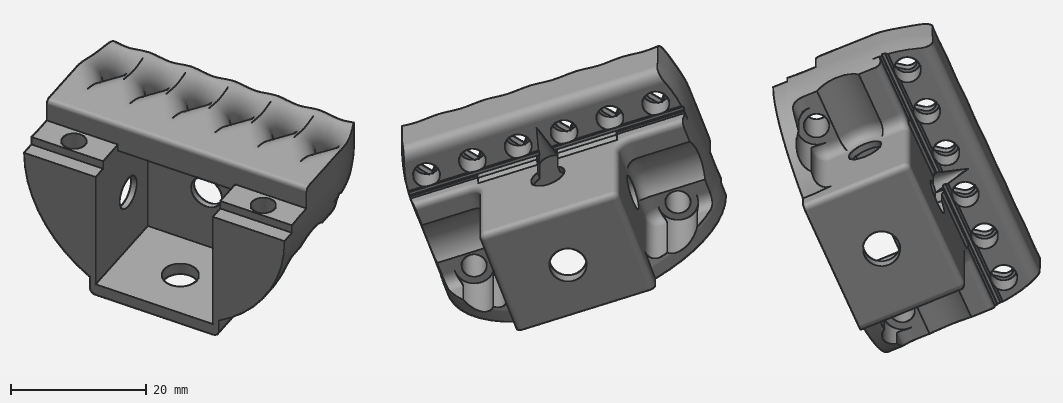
import cadquery as cq
import math

DEPTH = 24.88
HEIGHT = 27.37
PLATE_RADIUS = 22.025

BODY_RADIUS = 21.95
AXIS_Z = 22.42
TRANSITION_START = 2.0
TRANSITION_END = 4.0
CAP_START = 16.0

BOX_WIDTH = 21.8
WALL = 1.0
BOX_DEPTH = CAP_START + WALL
FLOOR = 2.0
BOX_EDGE_RADIUS = 1.0

BAR_FRONT = 6.85
BAR_BOTTOM = 18.4
BAR_FRONT_RADIUS = 0.75
BAR_BACK_TOP_RADIUS = 1.0
BAR_BACK_BOTTOM_RADIUS = 2.0

LEDGE_TOP = 23.57
LEDGE_FRONT = 2.28
LIP_TOP = 22.16

POCKET_TOP = 16.1
PLATE_THICKNESS = 2.55
POCKET_RADIUS = 2.0

SIDE_HOLE_DIAMETER = 5.2
SIDE_HOLE_Y = 10.03
SIDE_HOLE_Z = 12.4
SIDE_CLEARANCE_RADIUS = 5.0
FLOOR_HOLE_DIAMETER = 5.5
FLOOR_HOLE_Y = 8.0
SCREW_HOLE_DIAMETER = 3.75
SCREW_X = 16.0
SCREW_Y = 4.42
SCREW_HEAD_DIAMETER = 6.0
KEYHOLE_DIAMETER = 5.2
KEYHOLE_Z = 12.0
KEYHOLE_SLOT_RADIUS = 1.6
KEYHOLE_TIP_LENGTH = 6.0

RIDGE_THICKNESS = 0.35
RIDGE_BOTTOM = 16.6
RIDGE_SHOULDER = 17.6
GROOVE_WIDTH = 0.95
GROOVE_DEPTH = 0.45

GUIDE_COUNT = 6
GUIDE_PITCH = 7.2
GUIDE_Y = 19.93
GUIDE_RADIUS = 1.5
FLARE_RADIUS = 4.0
GUIDE_BORE_DIAMETER = 4.0
TEARDROP_HALF_ANGLE = 37.0

CLEAR = 5.0


def block(x0, x1, y0, y1, z0, z1):
    return cq.Workplane("XY").box(x1 - x0, y1 - y0, z1 - z0, centered=False).translate((x0, y0, z0))


def shield(y, radius, axis_z):
    """Outline in the XZ plane at depth y: half round below axis_z, straight sides up to the ledges."""
    return (
        cq.Workplane("XZ", origin=(0, y, 0))
        .moveTo(radius, LEDGE_TOP)
        .lineTo(radius, axis_z)
        .threePointArc((0, axis_z - radius), (-radius, axis_z))
        .lineTo(-radius, LEDGE_TOP)
        .close()
    )


def half_round_body():
    """Front plate, short transition and rear block, stepped down in front of the ledges."""
    plate = shield(0, PLATE_RADIUS, LIP_TOP).extrude(-TRANSITION_START)
    front_wire = shield(TRANSITION_START, PLATE_RADIUS, LIP_TOP).wires().val()
    back_wire = shield(TRANSITION_END, BODY_RADIUS, AXIS_Z).wires().val()
    transition = cq.Workplane(cq.Solid.makeLoft([front_wire, back_wire], True))
    rear = shield(TRANSITION_END, BODY_RADIUS, AXIS_Z).extrude(TRANSITION_END - BOX_DEPTH)
    above_lip = block(-PLATE_RADIUS, PLATE_RADIUS, 0, LEDGE_FRONT, LIP_TOP, HEIGHT)
    above_wall = block(-PLATE_RADIUS, PLATE_RADIUS, CAP_START, BOX_DEPTH, BAR_BOTTOM, HEIGHT)
    return plate.union(transition).union(rear).cut(above_lip).cut(above_wall)


def side_pocket():
    """Pocket on the +X side, with rounded inner edges and clearance around the holes."""
    wall_x = BOX_WIDTH / 2
    outer_x = PLATE_RADIUS + CLEAR
    pocket = block(wall_x, outer_x, PLATE_THICKNESS, BOX_DEPTH + CLEAR, -CLEAR, POCKET_TOP)
    pocket = pocket.edges("(<X and >Z) or (<X and <Y) or (<Y and >Z)").fillet(POCKET_RADIUS)
    clearance = cq.Workplane("YZ", origin=(wall_x, SIDE_HOLE_Y, SIDE_HOLE_Z))
    clearance = clearance.circle(SIDE_CLEARANCE_RADIUS).extrude(outer_x - wall_x)
    clearance = clearance.edges("<X").fillet(POCKET_RADIUS)
    head = cq.Workplane("XY", origin=(SCREW_X, SCREW_Y, 0))
    head = head.circle(SCREW_HEAD_DIAMETER / 2).extrude(POCKET_TOP)
    return pocket.union(clearance).union(head)


def bar_envelope():
    """Outline of the bar seen from above, with its lower half following the round body."""
    straight = block(-BODY_RADIUS, BODY_RADIUS, 0, CAP_START, AXIS_Z, HEIGHT)
    rod = cq.Workplane("XZ", origin=(0, 0, AXIS_Z)).circle(BODY_RADIUS).extrude(-CAP_START)
    ends = cq.Workplane("XY").circle(BODY_RADIUS).extrude(HEIGHT - AXIS_Z)
    ends = ends.union(cq.Workplane("XY").sphere(BODY_RADIUS)).translate((0, CAP_START, AXIS_Z))
    ends = ends.intersect(block(-BODY_RADIUS, BODY_RADIUS, CAP_START, DEPTH, 0, HEIGHT))
    return straight.union(rod).union(ends)


def flare_section(plane):
    """Section of a flared mouth: distance from the hole axis against height."""
    mouth = GUIDE_RADIUS + FLARE_RADIUS
    middle = math.sqrt(0.5) * FLARE_RADIUS
    return (
        plane.moveTo(0, AXIS_Z)
        .lineTo(GUIDE_RADIUS, AXIS_Z)
        .lineTo(GUIDE_RADIUS, HEIGHT - FLARE_RADIUS)
        .threePointArc((mouth - middle, HEIGHT - FLARE_RADIUS + middle), (mouth, HEIGHT))
        .lineTo(mouth, HEIGHT + CLEAR)
        .lineTo(0, HEIGHT + CLEAR)
        .close()
    )


def guide_cutter():
    """Teardrop hole pointing to -Y whose whole rim flares out by the same radius."""
    round_mouth = flare_section(cq.Workplane("XZ")).revolve(360, (0, 0, 0), (0, 1, 0))
    reach = 2 * (GUIDE_RADIUS + FLARE_RADIUS)
    flank = flare_section(cq.Workplane("XZ")).extrude(reach)
    inner = block(-reach, 0, -reach, 0, AXIS_Z, HEIGHT + CLEAR)
    flank = flank.union(inner).rotate((0, 0, 0), (0, 0, 1), -TEARDROP_HALF_ANGLE)
    point = flank.intersect(flank.mirror("YZ"))
    bore = cq.Workplane("XY", origin=(0, 0, AXIS_Z)).circle(GUIDE_BORE_DIAMETER / 2)
    bore = bore.extrude(BAR_BOTTOM - CLEAR - AXIS_Z)
    return round_mouth.union(point).union(bore).translate((0, GUIDE_Y, 0))


def bar_segment(x0, x1, guide_x):
    """Slice of the bar around one guide hole, with its wavy back edge rounded."""
    segment = block(x0, x1, BAR_FRONT, DEPTH, BAR_BOTTOM, HEIGHT)
    segment = segment.edges(">Z and <Y").fillet(BAR_FRONT_RADIUS)
    segment = segment.edges("<Z and >Y").fillet(BAR_BACK_BOTTOM_RADIUS)
    segment = segment.cut(guide_cutter().translate((guide_x, 0, 0)))
    return segment.faces(">Y").edges(">Z").fillet(BAR_BACK_TOP_RADIUS)


def toothed_bar():
    bar = cq.Workplane("XY")
    for index in range(GUIDE_COUNT):
        guide_x = (index - (GUIDE_COUNT - 1) / 2) * GUIDE_PITCH
        x0 = guide_x - GUIDE_PITCH / 2
        x1 = guide_x + GUIDE_PITCH / 2
        if index == 0:
            x0 = -BODY_RADIUS
        if index == GUIDE_COUNT - 1:
            x1 = BODY_RADIUS
        bar = bar.add(bar_segment(x0, x1, guide_x))
    return bar.combine().intersect(bar_envelope())


def outer_box_edges():
    """Selector for the bottom side edges, the bottom back edge and the two back corner edges."""
    half = BOX_WIDTH / 2
    tol = 0.1
    corner_top = POCKET_TOP - SIDE_CLEARANCE_RADIUS
    left = cq.selectors.BoxSelector((-half - tol, 0, -tol), (-half + tol, BOX_DEPTH, tol))
    right = cq.selectors.BoxSelector((half - tol, 0, -tol), (half + tol, BOX_DEPTH, tol))
    back = cq.selectors.BoxSelector(
        (-half - tol, BOX_DEPTH - tol, -tol),
        (half + tol, BOX_DEPTH + tol, corner_top),
    )
    return left + right + back


def keyhole():
    """Keyhole through the back wall; its arched top tapers to a point under the bar."""
    y0 = CAP_START - CLEAR
    y1 = BOX_DEPTH + CLEAR
    radius = KEYHOLE_SLOT_RADIUS
    entry = cq.Workplane("XZ", origin=(0, y0, KEYHOLE_Z)).circle(KEYHOLE_DIAMETER / 2).extrude(y0 - y1)
    slot = block(-radius, radius, y0, y1, KEYHOLE_Z, BAR_BOTTOM)
    arch_profile = [(0, y0), (radius, y0), (radius, CAP_START), (0, CAP_START + KEYHOLE_TIP_LENGTH)]
    arch = cq.Workplane("XY", origin=(0, 0, BAR_BOTTOM)).polyline(arch_profile).close()
    arch = arch.revolve(360, (0, 0, 0), (0, 1, 0))
    return entry.union(slot).union(arch)


def ridge():
    back = BOX_DEPTH + RIDGE_THICKNESS
    section = [
        (CAP_START, RIDGE_BOTTOM),
        (BOX_DEPTH, RIDGE_BOTTOM),
        (back, RIDGE_SHOULDER),
        (back, BAR_BOTTOM + GROOVE_DEPTH),
        (CAP_START, BAR_BOTTOM + GROOVE_DEPTH),
    ]
    strip = cq.Workplane("YZ", origin=(-BOX_WIDTH / 2, 0, 0)).polyline(section).close()
    return strip.extrude(BOX_WIDTH)


def groove():
    y0 = BOX_DEPTH + RIDGE_THICKNESS
    section = [
        (y0, BAR_BOTTOM - GROOVE_DEPTH),
        (y0 + GROOVE_WIDTH, BAR_BOTTOM),
        (y0 + GROOVE_WIDTH - GROOVE_DEPTH, BAR_BOTTOM + GROOVE_DEPTH),
        (y0, BAR_BOTTOM + GROOVE_DEPTH),
    ]
    cutter = cq.Workplane("YZ", origin=(-PLATE_RADIUS, 0, 0)).polyline(section).close()
    return cutter.extrude(2 * PLATE_RADIUS)


def cavity():
    """Open-fronted cavity inside the box, also open upwards in front of the bar."""
    half = BOX_WIDTH / 2 - WALL
    under_bar = block(-half, half, -CLEAR, CAP_START, FLOOR, AXIS_Z)
    before_bar = block(-half, half, -CLEAR, BAR_FRONT, FLOOR, HEIGHT)
    return under_bar.union(before_bar)


def round_holes():
    """Hole across both side walls, hole in the floor and one screw hole in each ledge."""
    side = cq.Workplane("YZ", origin=(-BOX_WIDTH, SIDE_HOLE_Y, SIDE_HOLE_Z))
    side = side.circle(SIDE_HOLE_DIAMETER / 2).extrude(2 * BOX_WIDTH)
    floor = cq.Workplane("XY", origin=(0, FLOOR_HOLE_Y, -CLEAR))
    floor = floor.circle(FLOOR_HOLE_DIAMETER / 2).extrude(FLOOR + 2 * CLEAR)
    screws = cq.Workplane("XY").pushPoints([(-SCREW_X, SCREW_Y), (SCREW_X, SCREW_Y)])
    screws = screws.circle(SCREW_HOLE_DIAMETER / 2).extrude(HEIGHT)
    return [side, floor, screws]


pocket = side_pocket()
body = half_round_body().cut(pocket).cut(pocket.mirror("YZ"))
body = body.union(block(-BOX_WIDTH / 2, BOX_WIDTH / 2, 0, BOX_DEPTH, 0, POCKET_TOP))
body = body.edges(outer_box_edges()).fillet(BOX_EDGE_RADIUS)
body = body.union(toothed_bar()).cut(groove()).union(ridge())
body = body.cut(cavity()).cut(keyhole())
for hole in round_holes():
    body = body.cut(hole)

result = body